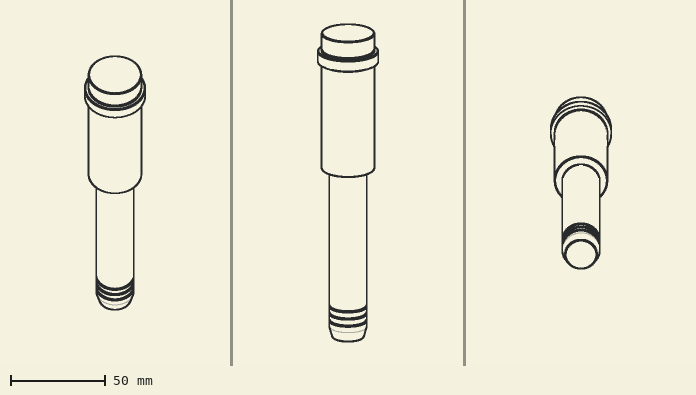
import cadquery as cq

total_length = 170.0
head_length = 10.0
flange_thickness = 6.0
shank_length = 60.0

body_radius = 14.0
flange_radius = 16.0
pin_radius = 10.0

flange_top_z = total_length - head_length
flange_bottom_z = flange_top_z - flange_thickness
shank_bottom_z = flange_bottom_z - shank_length

edge_chamfer = 0.5

undercut_width = 1.0
undercut_depth = 0.5

tip_length = 6.0
tip_radius = 8.5

groove_width = 1.0
groove_floor_width = 0.4
groove_depth = 0.5
pin_groove_count = 3
pin_groove_pitch = 4.0
lowest_pin_groove_z = 9.5


def cylinder(radius, bottom_z, height):
    """Solid cylinder on the Z axis."""
    return cq.Workplane("XY").workplane(offset=bottom_z).circle(radius).extrude(height)


def revolve_profile(points):
    """Turn a closed outline of (radius, z) points about the Z axis."""
    return cq.Workplane("XZ").polyline(points).close().revolve(360, (0, 0, 0), (0, 1, 0))


def groove(surface_radius, center_z):
    """Trapezoidal ring cutter, widest at the surface it cuts."""
    floor_radius = surface_radius - groove_depth
    half_width = groove_width / 2
    half_floor = groove_floor_width / 2
    return revolve_profile([
        (surface_radius, center_z - half_width),
        (surface_radius, center_z + half_width),
        (floor_radius, center_z + half_floor),
        (floor_radius, center_z - half_floor),
    ])


def body():
    """Head and shank of one diameter, chamfered at both ends and grooved beside the flange."""
    blank = cylinder(body_radius, shank_bottom_z, total_length - shank_bottom_z)
    blank = blank.faces(">Z or <Z").chamfer(edge_chamfer)
    groove_offset = groove_width / 2
    for groove_z in (flange_top_z + groove_offset, flange_bottom_z - groove_offset):
        blank = blank.cut(groove(body_radius, groove_z))
    return blank


def flange():
    """Locating collar with its upper rim chamfered."""
    collar = cylinder(flange_radius, flange_bottom_z, flange_thickness)
    return collar.faces(">Z").chamfer(edge_chamfer)


def pin():
    """Guide pin with a conical tip, an undercut below the shank and a row of grooves."""
    neck_radius = pin_radius - undercut_depth
    undercut_bottom_z = shank_bottom_z - undercut_width
    blank = revolve_profile([
        (0, 0),
        (tip_radius - edge_chamfer, 0),
        (tip_radius, edge_chamfer),
        (pin_radius, tip_length),
        (pin_radius, undercut_bottom_z),
        (neck_radius, undercut_bottom_z),
        (neck_radius, shank_bottom_z),
        (0, shank_bottom_z),
    ])
    for index in range(pin_groove_count):
        groove_z = lowest_pin_groove_z + index * pin_groove_pitch
        blank = blank.cut(groove(pin_radius, groove_z))
    return blank


result = body().union(flange()).union(pin())